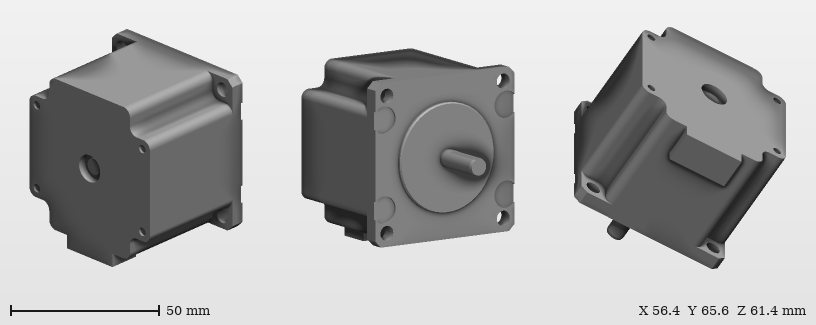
import cadquery as cq


overall_length = 65.6
width = 56.4
flange_thickness = 5.0
mount_to_rear = 45.0
flange_chamfer = 2.3
notch = 9.3
notch_radius = 3.0

mount_hole_spacing = 47.1
mount_hole_diameter = 5.2
screw_spacing_x = 49.4
screw_spacing_z = 30.9
screw_hole_diameter = 3.0
screw_hole_depth = 1.0
head_recess_diameter = 9.4
head_recess_depth = 0.7

pilot_diameter = 38.1
pilot_height = 1.6
pilot_chamfer = 0.45

shaft_diameter = 6.35
shaft_reach = overall_length - mount_to_rear
shaft_tip_length = 1.0
shaft_tip_inset = 0.25
flat_length = 15.0
flat_depth = 0.5

bore_diameter = 10.0
bore_depth = 3.0
shaft_end_depth = 2.05

connector_width = 21.4
connector_length = 11.5
connector_drop = 5.0

half_width = width / 2
rear_y = -mount_to_rear


def plane_at(y):
    """Plane facing +Y, with local axes along -X and +Z."""
    return cq.Workplane(cq.Plane(origin=(0, y, 0), xDir=(-1, 0, 0), normal=(0, 1, 0)))


def make_flange():
    flange = plane_at(0).rect(width, width).extrude(-flange_thickness)
    flange = flange.edges("|Y").chamfer(flange_chamfer)
    holes = (
        plane_at(0)
        .rect(mount_hole_spacing, mount_hole_spacing, forConstruction=True)
        .vertices()
        .circle(mount_hole_diameter / 2)
        .extrude(-flange_thickness)
    )
    return flange.cut(holes)


def make_body():
    """Square block with a rounded notch along each long corner."""
    length = mount_to_rear - flange_thickness
    block = plane_at(rear_y).rect(width, width).extrude(length)
    notches = (
        plane_at(rear_y)
        .rect(width, width, forConstruction=True)
        .vertices()
        .rect(2 * notch, 2 * notch)
        .extrude(length)
    )
    return block.cut(notches).edges("|Y").fillet(notch_radius)


def make_pilot():
    pilot = plane_at(0).circle(pilot_diameter / 2).extrude(pilot_height)
    return pilot.faces(">Y").chamfer(pilot_chamfer)


def make_shaft():
    """Shaft with tapered ends and a flat on its upper side near the tip."""
    start_y = rear_y + shaft_end_depth
    shaft = plane_at(start_y).circle(shaft_diameter / 2).extrude(shaft_reach - start_y)
    shaft = shaft.faces(">Y").chamfer(shaft_tip_length, shaft_tip_inset)
    shaft = shaft.faces("<Y").chamfer(shaft_tip_length, shaft_tip_inset)
    flat_z = shaft_diameter / 2 - flat_depth
    above_flat = cq.Workplane("XY").box(
        shaft_diameter, flat_length, shaft_diameter, centered=(True, False, False)
    )
    return shaft.cut(above_flat.translate((0, shaft_reach - flat_length, flat_z)))


def make_connector():
    height = half_width + connector_drop
    block = cq.Workplane("XY").box(
        connector_width, connector_length, height, centered=(True, False, False)
    )
    return block.translate((0, rear_y, -height))


def at_screws(y, diameter, depth):
    """Cylinders on the four screw axes, running from y by a signed depth along Y."""
    return (
        plane_at(y)
        .rect(screw_spacing_x, screw_spacing_z, forConstruction=True)
        .vertices()
        .circle(diameter / 2)
        .extrude(depth)
    )


rear_bore = plane_at(rear_y).circle(bore_diameter / 2).extrude(bore_depth)
screw_holes = at_screws(rear_y, screw_hole_diameter, screw_hole_depth)
head_recesses = at_screws(0, head_recess_diameter, -head_recess_depth)

housing = make_flange().union(make_body()).union(make_connector())
housing = housing.cut(rear_bore).cut(screw_holes).cut(head_recesses)
result = housing.union(make_pilot()).union(make_shaft())